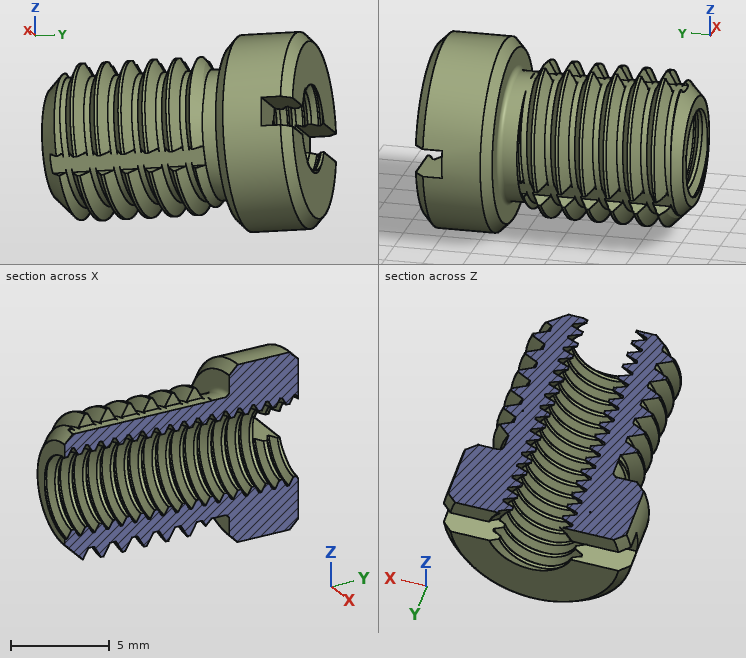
import cadquery as cq
import math


total_length = 13.5
head_diameter = 10.0
head_height = 4.0
edge_chamfer = 0.5
slot_width = 1.47
slot_depth = 1.5

flank_slope = math.tan(math.radians(30))
depth_per_pitch = 5 / 8 / (2 * flank_slope)

thread_diameter = 8.0
thread_pitch = 1.25
thread_phase = 180.0
neck_length = 1.0
neck_fillet = 0.25

bore_thread_diameter = 5.0
bore_pitch = 0.8
bore_phase = 45.0

groove_count = 3
first_groove_angle = -90.0
groove_width = 1.01
groove_floor_radius = 3.31

crest_radius = thread_diameter / 2
core_radius = crest_radius - depth_per_pitch * thread_pitch
tip_radius = core_radius - edge_chamfer
shank_length = total_length - head_height
thread_end = shank_length - neck_length
bore_thread_radius = bore_thread_diameter / 2
bore_radius = bore_thread_radius - depth_per_pitch * bore_pitch

root_overlap = 0.07


def helical_ridge(pitch, outer_radius, root_radius, start, turns, start_angle):
    """Right-handed thread ridge that starts at Z = start and `start_angle`, built turn by turn."""
    crest_half = pitch / 16
    root_half = crest_half + (outer_radius - root_radius) * flank_slope
    section = [
        (root_radius, -root_half),
        (outer_radius, -crest_half),
        (outer_radius, crest_half),
        (root_radius, root_half),
    ]
    faces = []
    for turn in range(turns):
        edges = [
            cq.Wire.makeHelix(pitch, pitch, radius).translate(cq.Vector(0, 0, start + turn * pitch + offset))
            for radius, offset in section
        ]
        faces += [cq.Face.makeRuledSurface(edges[i - 1], edges[i]) for i in range(len(edges))]
    for end in (start, start + turns * pitch):
        corners = [cq.Vector(radius, 0, end + offset) for radius, offset in section]
        faces.append(cq.Face.makeFromWires(cq.Wire.makePolygon(corners, close=True)))
    ridge = cq.Solid.makeSolid(cq.Shell.makeShell(faces))
    return cq.Workplane(obj=ridge).rotate((0, 0, 0), (0, 0, 1), start_angle)


def threaded_rod(pitch, outer_radius, rod_radius, length, phase, seam_angle):
    """Cylinder with a thread past both ends of 0..length; its crest crosses Z = 0 at angle `phase`.

    The turns of the ridge join one another at `seam_angle`.
    """
    ridge_start = -pitch * (1 + (phase - seam_angle) / 360)
    ridge_turns = math.ceil(length / pitch) + 2
    rod_start = ridge_start - pitch
    rod_length = (ridge_turns + 2) * pitch
    root_radius = rod_radius - root_overlap
    ridge = helical_ridge(pitch, outer_radius, root_radius, ridge_start, ridge_turns, seam_angle)
    rod = cq.Workplane("XY").workplane(offset=rod_start).circle(rod_radius).extrude(rod_length)
    return rod.union(ridge)


def make_head():
    """Chamfered head with the neck below it and the fillet between them."""
    head_radius = head_diameter / 2
    return (
        cq.Workplane("YZ")
        .moveTo(0, thread_end)
        .lineTo(core_radius, thread_end)
        .lineTo(core_radius, shank_length - neck_fillet)
        .radiusArc((core_radius + neck_fillet, shank_length), neck_fillet)
        .lineTo(head_radius - edge_chamfer, shank_length)
        .lineTo(head_radius, shank_length + edge_chamfer)
        .lineTo(head_radius, total_length - edge_chamfer)
        .lineTo(head_radius - edge_chamfer, total_length)
        .lineTo(0, total_length)
        .close()
        .revolve(360, (0, 0), (0, 1))
    )


def make_shank():
    """Threaded rod trimmed by 45 degree cones at the tip and at the neck."""
    envelope = (
        cq.Workplane("YZ")
        .polyline(
            [
                (0, 0),
                (tip_radius, 0),
                (head_diameter / 2, head_diameter / 2 - tip_radius),
                (head_diameter / 2, thread_end + core_radius - head_diameter / 2),
                (core_radius, thread_end),
                (0, thread_end),
            ]
        )
        .close()
        .revolve(360, (0, 0), (0, 1))
    )
    seam_angle = first_groove_angle + (groove_count - 1) * 360 / groove_count
    rod = threaded_rod(thread_pitch, crest_radius, core_radius, thread_end, thread_phase, seam_angle)
    return rod.intersect(envelope)


def make_groove(angle):
    """Cutter for one flat-bottomed groove, from beyond the tip to the end of the thread."""
    cutter_length = thread_end + edge_chamfer
    groove = cq.Workplane("XY", origin=(groove_floor_radius, 0, -edge_chamfer)).box(
        crest_radius, groove_width, cutter_length, centered=(False, True, False)
    )
    return groove.rotate((0, 0, 0), (0, 0, 1), angle)


def cut_slot(head):
    """Screwdriver slot across the head."""
    slot = cq.Workplane("XY", origin=(0, 0, total_length - slot_depth)).box(
        head_diameter, slot_width, slot_depth, centered=(True, True, False)
    )
    return head.cut(slot)


def make_bore():
    """Cutter for the threaded bore through the whole length."""
    return threaded_rod(
        bore_pitch, bore_thread_radius, bore_radius, total_length, bore_phase, seam_angle=bore_phase
    )


screw = cut_slot(make_head()).union(make_shank())
screw = screw.cut(make_bore())
for index in range(groove_count):
    screw = screw.cut(make_groove(first_groove_angle + index * 360 / groove_count))

result = screw.rotate((0, 0, 0), (1, 0, 0), -90)